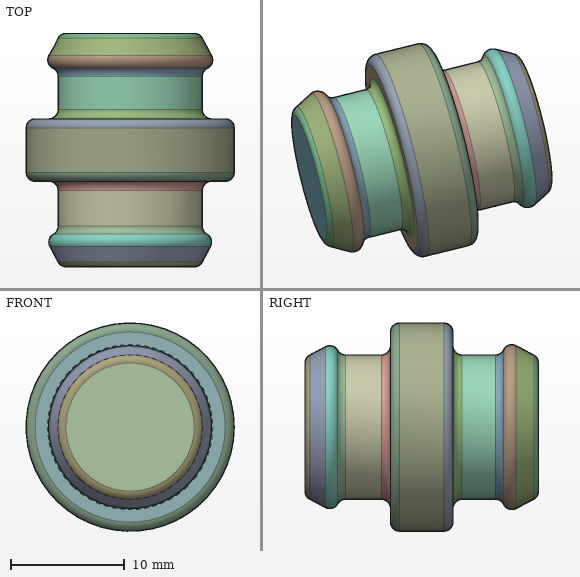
import cadquery as cq
import math

total_length = 20.5
flange_diameter = 18.28
flange_width = 5.5
shaft_diameter = 12.68
end_flat_diameter = 11.25
blend_radius = 0.8

front_bead_diameter = 14.31
front_bead_setback = 2.18
rear_bead_diameter = 14.5
rear_bead_setback = 2.34

half_length = total_length / 2
flange_half_width = flange_width / 2
shaft_radius = shaft_diameter / 2
end_flat_radius = end_flat_diameter / 2


def on_blend(center, angle):
    """Point on a blend circle, with the angle measured from the outward radial direction."""
    radial, axial = center
    return (
        radial + blend_radius * math.cos(angle),
        axial + blend_radius * math.sin(angle),
    )


def make_flange():
    """Central disc with rounded rims."""
    rear_face = cq.Workplane("XZ", origin=(0, flange_half_width, 0))
    disc = rear_face.circle(flange_diameter / 2).extrude(flange_width)
    return disc.edges().fillet(blend_radius)


def make_stub(bead_diameter, bead_setback):
    """Shaft and bead along +Y, starting inside the flange at its mid-plane."""
    right_angle = math.pi / 2
    straight_angle = math.pi
    root_center_radius = shaft_radius + blend_radius

    flange_root = (root_center_radius, flange_half_width + blend_radius)
    bead = (bead_diameter / 2 - blend_radius, half_length - bead_setback)
    end_edge = (end_flat_radius, half_length - blend_radius)

    root_angle = math.acos((root_center_radius - bead[0]) / (2 * blend_radius))
    bead_root = (root_center_radius, bead[1] - 2 * blend_radius * math.sin(root_angle))

    cone_angle = math.atan2(bead[0] - end_edge[0], end_edge[1] - bead[1])

    profile = (
        cq.Workplane("XY")
        .lineTo(root_center_radius, 0)
        .lineTo(*on_blend(flange_root, -right_angle))
        .threePointArc(
            on_blend(flange_root, straight_angle + right_angle / 2),
            on_blend(flange_root, straight_angle),
        )
        .lineTo(*on_blend(bead_root, straight_angle))
        .threePointArc(
            on_blend(bead_root, straight_angle - root_angle / 2),
            on_blend(bead_root, straight_angle - root_angle),
        )
        .threePointArc(on_blend(bead, 0), on_blend(bead, cone_angle))
        .lineTo(*on_blend(end_edge, cone_angle))
        .threePointArc(
            on_blend(end_edge, (cone_angle + right_angle) / 2),
            on_blend(end_edge, right_angle),
        )
        .lineTo(0, half_length)
        .close()
    )
    return profile.revolve(360, (0, 0, 0), (0, 1, 0))


rear_stub = make_stub(rear_bead_diameter, rear_bead_setback)
front_stub = make_stub(front_bead_diameter, front_bead_setback).mirror("XZ")

result = make_flange().union(rear_stub).union(front_stub)